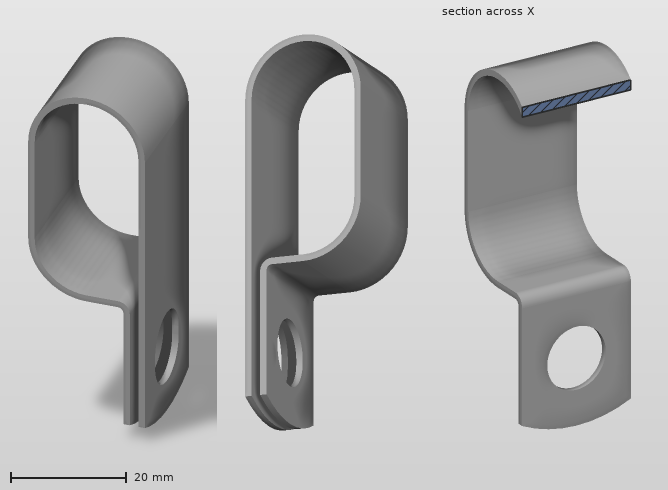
import cadquery as cq
import math

height = 66.3
loop_width = 21.5
strap_width = 22.2
thickness = 1.2
lower_axis_height = 36.45
leg_gap = 1.6
inner_bend_radius = 1.0
hole_diameter = 11.9
slot_length = 13.65
hole_height = 12.7
end_rise = 2.5

outer_radius = loop_width / 2
inner_radius = outer_radius - thickness
upper_axis_height = height - outer_radius
shelf_bottom = lower_axis_height - outer_radius
shelf_top = shelf_bottom + thickness

short_leg_right = inner_radius - leg_gap
gap_middle = inner_radius - leg_gap / 2
short_leg_left = short_leg_right - thickness
outer_bend_radius = inner_bend_radius + thickness
bend_x = short_leg_left - inner_bend_radius
bend_z = shelf_bottom - inner_bend_radius
diagonal = math.sqrt(0.5)


def make_strap():
    """Bent strip profile, extruded across the strap width."""
    profile = (
        cq.Workplane("XZ")
        .moveTo(outer_radius, 0)
        .lineTo(outer_radius, upper_axis_height)
        .threePointArc((0, height), (-outer_radius, upper_axis_height))
        .lineTo(-outer_radius, lower_axis_height)
        .threePointArc(
            (-outer_radius * diagonal, lower_axis_height - outer_radius * diagonal),
            (0, shelf_bottom),
        )
        .lineTo(bend_x, shelf_bottom)
        .threePointArc(
            (bend_x + inner_bend_radius * diagonal, bend_z + inner_bend_radius * diagonal),
            (short_leg_left, bend_z),
        )
        .lineTo(short_leg_left, 0)
        .lineTo(short_leg_right, 0)
        .lineTo(short_leg_right, bend_z)
        .threePointArc(
            (bend_x + outer_bend_radius * diagonal, bend_z + outer_bend_radius * diagonal),
            (bend_x, shelf_top),
        )
        .lineTo(0, shelf_top)
        .threePointArc(
            (-inner_radius * diagonal, lower_axis_height - inner_radius * diagonal),
            (-inner_radius, lower_axis_height),
        )
        .lineTo(-inner_radius, upper_axis_height)
        .threePointArc((0, upper_axis_height + inner_radius), (inner_radius, upper_axis_height))
        .lineTo(inner_radius, 0)
        .close()
    )
    return profile.extrude(strap_width / 2, both=True)


def make_end_envelope():
    """Block with a rounded lower end that trims both legs."""
    half_width = strap_width / 2
    return (
        cq.Workplane("YZ")
        .moveTo(-half_width, height)
        .lineTo(-half_width, end_rise)
        .threePointArc((0, 0), (half_width, end_rise))
        .lineTo(half_width, height)
        .close()
        .extrude(loop_width, both=True)
    )


def make_bolt_hole():
    """Cylinder along X that passes through the short leg only."""
    return (
        cq.Workplane("YZ", origin=(gap_middle, 0, hole_height))
        .circle(hole_diameter / 2)
        .extrude(-loop_width)
    )


def make_bolt_slot():
    """Slot elongated along Z that passes through the long leg only."""
    return (
        cq.Workplane("YZ", origin=(gap_middle, 0, hole_height))
        .slot2D(slot_length, hole_diameter, 90)
        .extrude(loop_width)
    )


strap = make_strap().intersect(make_end_envelope())
result = strap.cut(make_bolt_hole()).cut(make_bolt_slot())